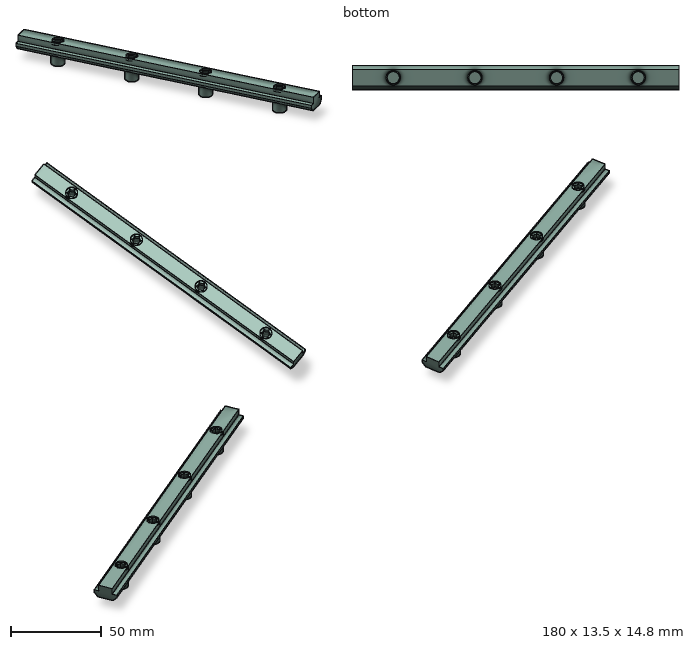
import cadquery as cq
import math

rail_length = 180.0
rail_height = 8.1
flange_width = 13.5
head_width = 8.1
shoulder_z = 4.3
slope_top_z = 2.5
base_width = 9.0

screw_count = 4
screw_pitch = rail_length / screw_count
screw_diameter = 8.0
screw_end_diameter = 6.7
screw_chamfer = (screw_diameter - screw_end_diameter) / 2
screw_recess = 0.9
screw_protrusion = 6.7
screw_top_z = rail_height - screw_recess
screw_length = screw_top_z + screw_protrusion

lobe_count = 6
socket_tip_radius = 2.9
socket_root_radius = 2.0
socket_depth = 2.7
socket_cone_angle = 120.0

screw_positions = [(i - (screw_count - 1) / 2) * screw_pitch for i in range(screw_count)]


def polar(radius, degrees):
    """Point at a given radius and angle."""
    angle = math.radians(degrees)
    return radius * math.cos(angle), radius * math.sin(angle)


def screw_blank():
    """Solid screw envelope, chamfered at both ends, on the Z axis."""
    return (
        cq.Workplane("XY")
        .workplane(offset=-screw_protrusion)
        .circle(screw_diameter / 2)
        .extrude(screw_length)
        .faces("<Z or >Z")
        .chamfer(screw_chamfer)
    )


def drive_socket():
    """Cutter for the socket: a lobed prism ending in a cone."""
    lobe_angle = 360 / lobe_count
    first_tip = 90
    outline = cq.Workplane("XY").workplane(offset=screw_top_z).moveTo(*polar(socket_tip_radius, first_tip))
    for i in range(lobe_count):
        tip = first_tip + i * lobe_angle
        root_point = polar(socket_root_radius, tip + lobe_angle / 2)
        outline = outline.threePointArc(root_point, polar(socket_tip_radius, tip + lobe_angle))
    cone_height = socket_tip_radius / math.tan(math.radians(socket_cone_angle / 2))
    prism = outline.close().extrude(-(socket_depth + cone_height))

    drill_outline = [
        (0, screw_top_z),
        (socket_tip_radius, screw_top_z),
        (socket_tip_radius, screw_top_z - socket_depth),
        (0, screw_top_z - socket_depth - cone_height),
    ]
    drill = cq.Workplane("XZ").polyline(drill_outline).close().revolve(360, (0, 0), (0, 1))
    return prism.intersect(drill)


def make_screw(x):
    """Set screw at position x along the rail."""
    return screw_blank().cut(drive_socket()).translate((x, 0, 0))


def screw_hole(x):
    """Cutter for the hole that holds a screw and opens at the rail top."""
    opening = (
        cq.Workplane("XY")
        .workplane(offset=screw_top_z)
        .circle(screw_end_diameter / 2)
        .extrude(screw_recess)
    )
    return screw_blank().union(opening).translate((x, 0, 0))


def make_rail():
    """T-shaped rail with one hole for each screw."""
    half_profile = [
        (0, 0),
        (base_width / 2, 0),
        (flange_width / 2, slope_top_z),
        (flange_width / 2, shoulder_z),
        (head_width / 2, shoulder_z),
        (head_width / 2, rail_height),
        (0, rail_height),
    ]
    rail = (
        cq.Workplane("YZ")
        .polyline(half_profile)
        .mirrorY()
        .extrude(rail_length / 2, both=True)
    )
    for x in screw_positions:
        rail = rail.cut(screw_hole(x))
    return rail


rail = make_rail()
screws = [make_screw(x) for x in screw_positions]

result = cq.Compound.makeCompound([rail.val(), *[screw.val() for screw in screws]])